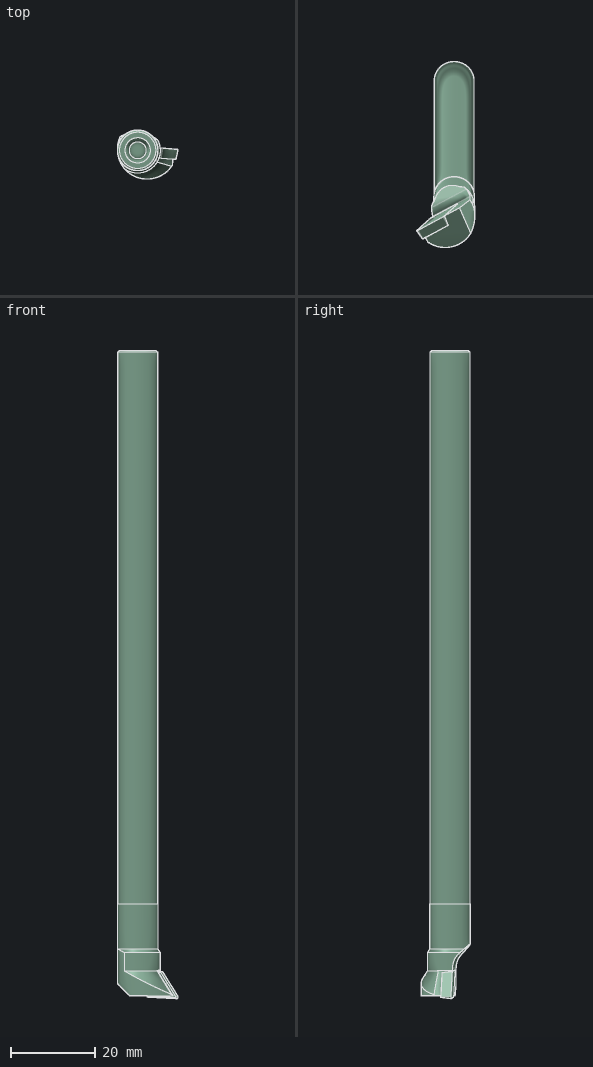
import cadquery as cq
import math

width = 14.5
depth = 11.7
length = 153.6

shank_d = 9.5
shank_chamfer = 0.5
collar_d = 9.7
collar_top = 22.5

recess_d = 6.0
recess_floor_d = 4.0
recess_depth = 2.5

neck_r = 5.4
neck_top = 10.9
neck_bottom = 6.6
lead_angle = 32.0
flare_slope = math.tan(math.radians(lead_angle))

nose_r = 7.0
nose_x = nose_r - collar_d / 2
nose_y = nose_r - (depth - collar_d / 2)
head_bottom = 0.69
heel_x = -1.2
heel_leg = 4.6

rake_tilt = 5.0
rake_y = 1.0
ramp_bottom = 9.2
ramp_blend_r = 4.6

insert_circle = 6.3
insert_thickness = 2.5
insert_tip_angle = 55.0
insert_relief = 7.0
insert_side = insert_circle / math.sin(math.radians(insert_tip_angle))
tip_r = 0.4
tip_x = width - collar_d / 2
side_clearance = 0.8

big = 30.7

tilt = math.radians(rake_tilt)
tip_center_x = tip_x - tip_r
rake_plane = cq.Plane(
    origin=(tip_center_x, rake_y - tip_center_x * math.tan(tilt), tip_r),
    xDir=(math.cos(tilt), -math.sin(tilt), 0),
    normal=(-math.sin(tilt), -math.cos(tilt), 0),
)

shoulder_top = neck_top + (neck_r - collar_d / 2) / flare_slope
flare_bottom_r = neck_r + (neck_bottom - head_bottom) * flare_slope
side_direction = 90 + lead_angle
bottom_direction = side_direction + insert_tip_angle


def polar(distance, angle):
    """Point at a distance and an angle in degrees from the origin."""
    a = math.radians(angle)
    return (distance * math.cos(a), distance * math.sin(a))


def make_insert():
    """Rhombic plate, wide at the rake face, with rounded corners and relieved sides."""
    core_side = insert_side * (insert_circle - 2 * tip_r) / insert_circle
    side = polar(core_side, side_direction)
    bottom = polar(core_side, bottom_direction)
    far = (side[0] + bottom[0], side[1] + bottom[1])
    return (
        cq.Workplane(rake_plane)
        .polyline([(0, 0), side, far, bottom])
        .close()
        .offset2D(tip_r)
        .extrude(insert_thickness, taper=insert_relief)
    )


def make_shank():
    """Round shank with a chamfered top and a flat-bottomed conical recess."""
    shank = (
        cq.Workplane("XY", origin=(0, 0, collar_top))
        .circle(shank_d / 2)
        .extrude(length - collar_top)
        .faces(">Z")
        .chamfer(shank_chamfer)
    )
    recess = cq.Solid.makeCone(
        recess_floor_d / 2,
        recess_d / 2,
        recess_depth,
        pnt=cq.Vector(0, 0, length - recess_depth),
    )
    return shank.cut(cq.Workplane(recess))


def make_head_blank():
    """Collar, neck and flare, before the cuts."""
    collar = (
        cq.Workplane("XY", origin=(0, 0, head_bottom))
        .circle(collar_d / 2)
        .extrude(collar_top - head_bottom)
    )
    flared_neck = (
        cq.Workplane("XZ")
        .polyline([
            (0, head_bottom),
            (flare_bottom_r, head_bottom),
            (neck_r, neck_bottom),
            (neck_r, neck_top),
            (collar_d / 2, shoulder_top),
            (0, shoulder_top),
        ])
        .close()
        .revolve(360, (0, 0), (0, 1))
    )
    envelope = cq.Workplane("XY").center(nose_x, nose_y).circle(nose_r).extrude(shoulder_top)
    outside = cq.Workplane("XY").box(big, big, shoulder_top, centered=(True, False, False))
    outside = outside.translate((0, -big, 0)).cut(envelope)
    return collar.union(flared_neck.intersect(envelope)).cut(outside)


def heel_cut():
    """45 degree corner at the lower -X edge."""
    corner_x = heel_x - heel_leg
    return (
        cq.Workplane("XZ", origin=(0, big / 2, 0))
        .polyline([(heel_x, 0), (corner_x, heel_leg), (corner_x, 0)])
        .close()
        .extrude(big)
    )


def rake_cut():
    """Material in front of the rake plane, running out in a 45 degree ramp."""
    return (
        cq.Workplane("YZ", origin=(-big / 2, rake_y, 0))
        .polyline([(0, -big), (0, ramp_bottom), (big, ramp_bottom + big), (big, -big)])
        .close()
        .extrude(big)
        .edges(cq.NearestToPointSelector((0, rake_y, ramp_bottom)))
        .fillet(ramp_blend_r)
        .rotate((0, rake_y, 0), (0, rake_y, 1), -rake_tilt)
    )


def side_cut():
    """Set the head back behind the insert's side edge."""
    offset = tip_r - side_clearance
    start = polar(offset, lead_angle)
    up = polar(insert_side, side_direction)
    down = polar(insert_side, side_direction + 180)
    return (
        cq.Workplane(rake_plane)
        .polyline([
            (start[0] + up[0], start[1] + up[1]),
            (start[0] + down[0], start[1] + down[1]),
            (big, start[1] + down[1]),
            (big, start[1] + up[1]),
        ])
        .close()
        .extrude(big, both=True)
    )


insert = make_insert()

head = make_head_blank()
head = head.cut(heel_cut()).cut(rake_cut()).cut(side_cut())

bar = make_shank().union(head).cut(insert)

result = cq.Compound.makeCompound([bar.val(), insert.val()])